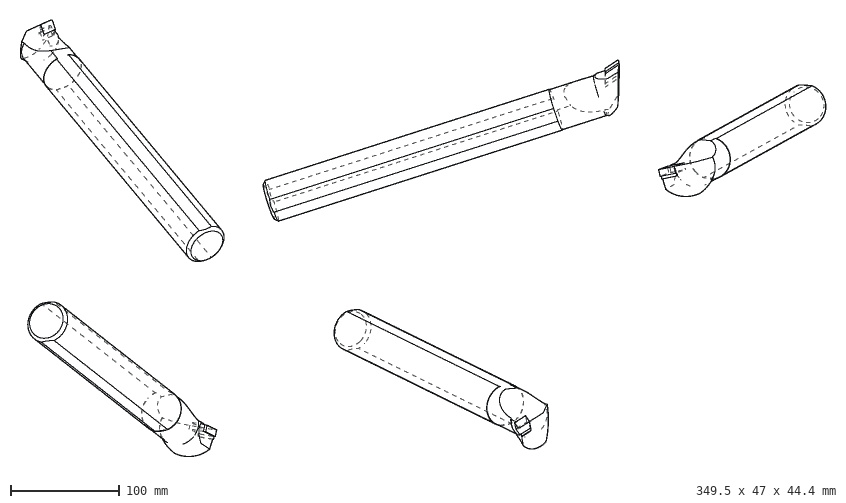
import cadquery as cq
import math

LENGTH = 349.5
SHANK_RADIUS = 20.0
FLAT_HEIGHT = 19.0
NECK_RADIUS = 19.5
NECK_START = 27.0
SHANK_START = 70.0
END_CHAMFER = 3.0
HEAD_FLARE = 0.33

TIP_Y = 27.0
RAKE_ANGLE = 12.7
SCOOP_START = 24.5
SCOOP_RADIUS = 52.5

INSERT_SIDE = 15.7
INSERT_CORNER = 55.0
LEAD_ANGLE = 17.5
NOSE_RADIUS = 1.0
HEEL_RADIUS = 4.2
INSERT_THICKNESS = 6.45
SEAT_HEIGHT = 2.8
SEAT_SETBACK = 2.0

FRONT_FACE_LENGTH = 34.0
CORNER_FACET = 2.8
CORNER_FACET_ANGLE = 32.0
SIDE_FACET_ANGLE = 47.5
RELIEF_ANGLE = 6.0
HEAD_DEPTH = 63.0
SIDE_LAND_END = 31.5
CLEAR = 70.0

rake = math.radians(RAKE_ANGLE)
rake_plane = cq.Plane(
    origin=(0, TIP_Y, 0), xDir=(1, 0, 0), normal=(0, math.sin(rake), math.cos(rake))
)
scoop_plane = cq.Plane(
    origin=(0, TIP_Y, 0), xDir=(1, 0, 0), normal=(0, -math.cos(rake), math.sin(rake))
)


def along(start, angle, distance):
    """Point at a distance from start, at an angle (degrees) from the inward cross direction."""
    a = math.radians(angle)
    return (start[0] + distance * math.sin(a), start[1] - distance * math.cos(a))


outer_angle = LEAD_ANGLE + INSERT_CORNER
half_corner = math.radians(INSERT_CORNER / 2)
nose_centre_distance = NOSE_RADIUS / math.sin(half_corner)
nose_centre = (NOSE_RADIUS, -NOSE_RADIUS)
sharp_tip = along(nose_centre, LEAD_ANGLE + INSERT_CORNER / 2, -nose_centre_distance)
front_corner = along(sharp_tip, LEAD_ANGLE, INSERT_SIDE)
rear_corner = along(sharp_tip, outer_angle, INSERT_SIDE)
inner_corner = along(front_corner, outer_angle, INSERT_SIDE)
seat_tip = along(sharp_tip, LEAD_ANGLE, SEAT_SETBACK)
seat_rear = along(rear_corner, LEAD_ANGLE, SEAT_SETBACK)


def rake_prism(points, top, height, taper=0):
    """Prism going down from a depth below the rake plane."""
    outline = cq.Workplane(rake_plane).workplane(offset=-top).polyline(points).close()
    return outline.extrude(-height, taper=taper)


def rounded_corner(prism, corner, radius):
    """Round the edge of a prism that stands at the given rake-plane corner."""
    edge = cq.selectors.NearestToPointSelector(
        rake_plane.toWorldCoords((corner[0], corner[1], -INSERT_THICKNESS / 2)).toTuple()
    )
    return prism.edges(cq.selectors.ParallelDirSelector(rake_plane.zDir)).edges(edge).fillet(radius)


def make_insert():
    insert = rake_prism([sharp_tip, front_corner, inner_corner, rear_corner], 0, INSERT_THICKNESS)
    insert = rounded_corner(insert, sharp_tip, NOSE_RADIUS)
    return rounded_corner(insert, front_corner, HEEL_RADIUS)


def make_bar():
    """Chamfered shank with two flats, neck with a top flat, and flared head blank."""
    head_radius = NECK_RADIUS + HEAD_FLARE * NECK_START
    shank = cq.Workplane("YZ", origin=(SHANK_START, 0, 0)).circle(SHANK_RADIUS).extrude(LENGTH - SHANK_START)
    shank = shank.faces(">X").chamfer(END_CHAMFER)
    flats = cq.Workplane("XY").box(LENGTH, CLEAR, 2 * FLAT_HEIGHT, centered=(False, True, True))
    shank = shank.intersect(flats)
    profile = [
        (0, 0), (0, head_radius), (NECK_START, NECK_RADIUS), (SHANK_START, NECK_RADIUS), (SHANK_START, 0),
    ]
    front = cq.Workplane("XY").polyline(profile).close().revolve(360, (0, 0, 0), (1, 0, 0))
    return shank.union(front)


def make_top_cut():
    """Neck flat, and the rake plane with its round run-out."""
    neck_flat = cq.Workplane("XY", origin=(0, 0, FLAT_HEIGHT)).box(
        SHANK_START, CLEAR, CLEAR, centered=(False, True, False)
    )
    diagonal = SCOOP_RADIUS * math.sqrt(0.5)
    scoop = (
        cq.Workplane(scoop_plane)
        .moveTo(-CLEAR, 0)
        .lineTo(SCOOP_START, 0)
        .threePointArc(
            (SCOOP_START + diagonal, SCOOP_RADIUS - diagonal),
            (SCOOP_START + SCOOP_RADIUS, SCOOP_RADIUS),
        )
        .lineTo(-CLEAR, SCOOP_RADIUS)
        .close()
        .extrude(CLEAR, both=True)
    )
    return neck_flat.union(scoop)


def make_front_cut():
    """Everything ahead of the relieved front face, corner facet and side facet."""
    facet_start = along(sharp_tip, LEAD_ANGLE, FRONT_FACE_LENGTH)
    facet_end = along(facet_start, CORNER_FACET_ANGLE, CORNER_FACET)
    side_end = along(facet_end, SIDE_FACET_ANGLE, CLEAR)
    face_end = along(sharp_tip, LEAD_ANGLE, -CLEAR)
    head = rake_prism(
        [face_end, facet_start, facet_end, side_end, (LENGTH, side_end[1]), (LENGTH, face_end[1])],
        0, HEAD_DEPTH, taper=RELIEF_ANGLE,
    )
    around = cq.Workplane(rake_plane).rect(2 * SHANK_START, 2 * CLEAR).extrude(-HEAD_DEPTH)
    return around.cut(head)


def make_side_cut():
    """Trims the flared head along the insert's outer side and on to the neck."""
    outline = [
        along(seat_rear, outer_angle, -CLEAR), seat_rear, (SIDE_LAND_END, seat_rear[1]), (SIDE_LAND_END, CLEAR),
    ]
    return rake_prism(outline, 0, HEAD_DEPTH)


def make_holder(insert):
    """Bar with its head cut to shape, a sharp-cornered pocket and the raised seat in it."""
    pocket_depth = INSERT_THICKNESS + SEAT_HEIGHT
    pocket = rake_prism([sharp_tip, front_corner, inner_corner, rear_corner], 0, pocket_depth)
    seat = rake_prism([seat_tip, front_corner, inner_corner, seat_rear], INSERT_THICKNESS, SEAT_HEIGHT)
    seat = rounded_corner(seat, front_corner, HEEL_RADIUS)
    holder = make_bar().cut(make_top_cut()).cut(make_front_cut()).cut(make_side_cut())
    return holder.cut(pocket).union(seat).cut(insert)


insert = make_insert()
holder = make_holder(insert)
result = cq.Compound.makeCompound([holder.val(), insert.val()])